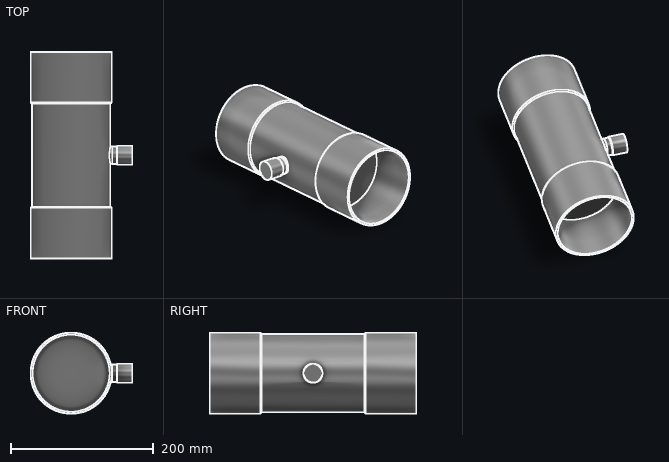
import cadquery as cq

run_length = 290.0
pipe_radius = 110.0 / 2
sleeve_radius = 114.0 / 2
sleeve_length = 73.0
socket_radius = 108.0 / 2
socket_depth = 70.0

branch_reach = 86.0
root_radius = 24.5 / 2
neck_radius = 25.0 / 2
collar_radius = 27.0 / 2
neck_start = 57.5
collar_length = 22.0

sleeve_shoulder = sleeve_radius - pipe_radius
collar_shoulder = collar_radius - neck_radius

run_end = run_length / 2
sleeve_start = run_end - sleeve_length
socket_floor = run_end - socket_depth
collar_start = branch_reach - collar_length


def main_run():
    """Pipe with a sleeve and a blind socket at each end; both halves are alike."""
    upper_half = [
        (0, socket_floor),
        (socket_radius, socket_floor),
        (socket_radius, run_end),
        (sleeve_radius, run_end),
        (sleeve_radius, sleeve_start + sleeve_shoulder),
        (pipe_radius, sleeve_start),
    ]
    lower_half = [(radius, -y) for radius, y in reversed(upper_half)]
    profile = upper_half + lower_half
    return cq.Workplane("XY").polyline(profile).close().revolve(360, (0, 0), (0, 1))


def side_branch():
    """Solid stepped spigot, turned about X and rooted inside the solid middle of the run."""
    profile = [
        (0, 0),
        (0, root_radius),
        (neck_start, root_radius),
        (neck_start, neck_radius),
        (collar_start, neck_radius),
        (collar_start + collar_shoulder, collar_radius),
        (branch_reach, collar_radius),
        (branch_reach, 0),
    ]
    return cq.Workplane("XY").polyline(profile).close().revolve(360, (0, 0), (1, 0))


result = main_run().union(side_branch())